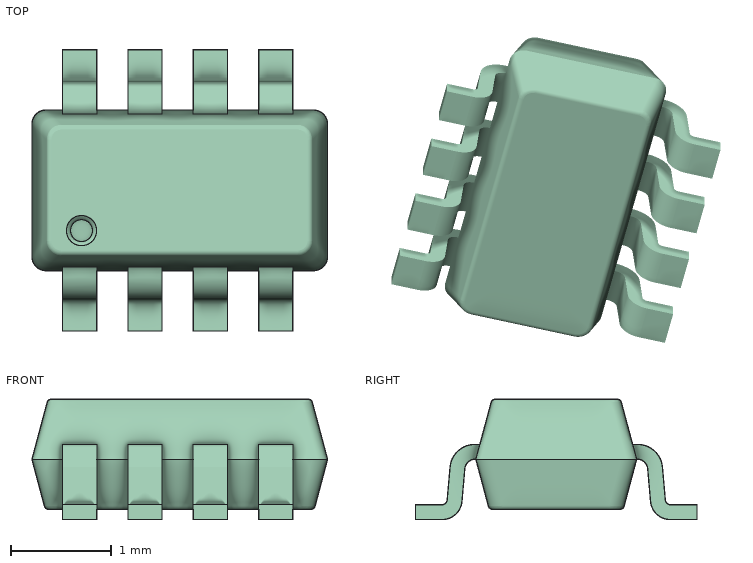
import cadquery as cq
import math

BODY_LENGTH = 2.94
BODY_WIDTH = 1.6
BODY_BOTTOM = 0.1
PARTING_HEIGHT = 0.6
BODY_TOP = 1.2
DRAFT_ANGLE = 15.0
CORNER_RADIUS = 0.15
RIM_RADIUS = 0.05

MARK_X = -0.975
MARK_Y = -0.4
MARK_RADIUS = 0.15
MARK_FLOOR_RADIUS = 0.11
MARK_DEPTH = 0.05

LEADS_PER_SIDE = 4
LEAD_PITCH = 0.65
LEAD_ROW_X = -0.02
LEAD_WIDTH = 0.34
LEAD_THICKNESS = 0.15
LEAD_TOP = 0.75
LEAD_SPAN = 2.8
FOOT_LENGTH = 0.265
LEAD_ANCHOR = 0.2
SHOULDER_INNER_RADIUS = 0.1
HEEL_INNER_RADIUS = 0.05
LEG_ANGLE = 85.0


def body_half(height):
    """Drafted block from the parting plane to a signed height, with rounded corners and rim."""
    rim = ">Z" if height > 0 else "<Z"
    return (
        cq.Workplane("XY")
        .rect(BODY_LENGTH, BODY_WIDTH)
        .extrude(height, taper=DRAFT_ANGLE)
        .edges("not(|X or |Y)")
        .fillet(CORNER_RADIUS)
        .faces(rim)
        .edges()
        .fillet(RIM_RADIUS)
        .translate((0, 0, PARTING_HEIGHT))
    )


def pin_one_mark():
    """Cone frustum that is cut out of the top face."""
    return (
        cq.Workplane("XY", origin=(MARK_X, MARK_Y, BODY_TOP - MARK_DEPTH))
        .circle(MARK_FLOOR_RADIUS)
        .workplane(offset=MARK_DEPTH)
        .circle(MARK_RADIUS)
        .loft()
    )


def lead():
    """One lead on the +Y side, swept along its centreline."""
    shoulder_radius = SHOULDER_INNER_RADIUS + LEAD_THICKNESS / 2
    heel_radius = HEEL_INNER_RADIUS + LEAD_THICKNESS / 2
    top_z = LEAD_TOP - LEAD_THICKNESS / 2
    foot_z = LEAD_THICKNESS / 2
    slope = math.radians(LEG_ANGLE)

    toe_y = LEAD_SPAN / 2
    heel_y = toe_y - FOOT_LENGTH
    leg_bottom_y = heel_y - heel_radius * math.sin(slope)
    leg_bottom_z = foot_z + heel_radius * (1 - math.cos(slope))
    leg_top_z = top_z - shoulder_radius * (1 - math.cos(slope))
    leg_top_y = leg_bottom_y - (leg_top_z - leg_bottom_z) / math.tan(slope)
    shoulder_y = leg_top_y - shoulder_radius * math.sin(slope)
    anchor_y = BODY_WIDTH / 2 - LEAD_ANCHOR

    centreline = (
        cq.Workplane("YZ")
        .moveTo(anchor_y, top_z)
        .lineTo(shoulder_y, top_z)
        .tangentArcPoint((leg_top_y, leg_top_z), relative=False)
        .lineTo(leg_bottom_y, leg_bottom_z)
        .tangentArcPoint((heel_y, foot_z), relative=False)
        .lineTo(toe_y, foot_z)
    )
    return (
        cq.Workplane("XZ", origin=(0, anchor_y, top_z))
        .rect(LEAD_WIDTH, LEAD_THICKNESS)
        .sweep(centreline)
    )


upper_body = body_half(BODY_TOP - PARTING_HEIGHT)
lower_body = body_half(BODY_BOTTOM - PARTING_HEIGHT)
result = upper_body.union(lower_body).cut(pin_one_mark())

back_lead = lead()
front_lead = back_lead.mirror("XZ")
for index in range(LEADS_PER_SIDE):
    lead_x = LEAD_ROW_X + (index - (LEADS_PER_SIDE - 1) / 2) * LEAD_PITCH
    result = result.union(back_lead.translate((lead_x, 0, 0)))
    result = result.union(front_lead.translate((lead_x, 0, 0)))